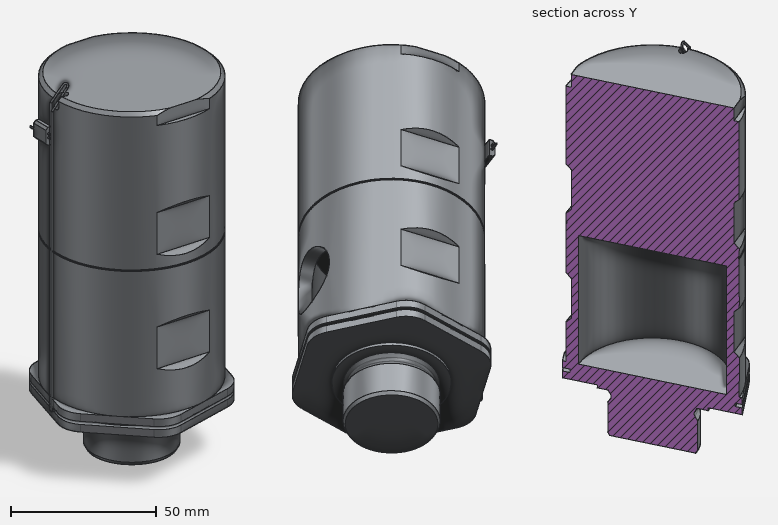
import cadquery as cq
import math

spigot_chamfer_top = 1.3
spigot_top = 13.3
relief_arc_bottom = 15.1
relief_arc_top = 16.7
collar_bottom = 18.1
lower_hex_bottom = 19.3
hex_thickness = 3.0
hex_gap = 1.2
upper_hex_bottom = lower_hex_bottom + hex_thickness + hex_gap
body_bottom = upper_hex_bottom + hex_thickness
seam_height = 82.1
top_height = 142.3

body_diameter = 64.0
rim_chamfer_diameter = 61.0
rim_chamfer_height = 1.3
neck_diameter = 61.0
collar_diameter = 41
spigot_diameter = 33.2
spigot_chamfer_diameter = 31.8
relief_slope = 30
seam_width = 0.5
seam_depth = 0.3
body_radius = body_diameter / 2
spigot_radius = spigot_diameter / 2

hex_across_flats = 64.0
hex_corner_radius = 10.0
hex_turn = 15

flat_offset = 30.0
pocket_height = 16.0
lower_pocket_center = 52.1
upper_pocket_center = 95.9
rim_flat_bottom = 137.1

port_diameter = 24.1
chamber_diameter = 54.5
chamber_bottom = body_bottom
chamber_top = 2 * lower_pocket_center - chamber_bottom

wire_diameter = 0.7
strand_offset = 0.32
wire_y = -34.1
wire_bottom = lower_hex_bottom + hex_thickness + hex_gap / 2
wire_hole_diameter = 3
wire_hole_height = 139.3
wire_top = 146.4
loop_radius = 1.13

tag_left = -8.6
tag_length = 7.0
tag_back = -33.1
tag_thickness = 2.2
tag_bottom = 123.7
tag_height = 6.9
tag_chamfer = 0.9
tail_ends = [(128.0, -10.0), (126.6, -12.0)]


def disc(diameter, bottom, top):
    return cq.Workplane("XY").workplane(offset=bottom).circle(diameter / 2).extrude(top - bottom)


def spigot():
    """Threaded spigot with an end chamfer, a relief groove and a collar, turned about Z."""
    slope = math.tan(math.radians(relief_slope))
    arc_end_radius = spigot_radius - (relief_arc_bottom - spigot_top) * slope
    half_chord = (relief_arc_top - relief_arc_bottom) / 2
    sagitta = half_chord * math.tan(math.radians(relief_slope / 2))
    collar_root_radius = arc_end_radius + (collar_bottom - relief_arc_top) * slope
    return (
        cq.Workplane("XZ")
        .lineTo(spigot_chamfer_diameter / 2, 0)
        .lineTo(spigot_radius, spigot_chamfer_top)
        .lineTo(spigot_radius, spigot_top)
        .lineTo(arc_end_radius, relief_arc_bottom)
        .threePointArc(
            (arc_end_radius - sagitta, relief_arc_bottom + half_chord),
            (arc_end_radius, relief_arc_top),
        )
        .lineTo(collar_root_radius, collar_bottom)
        .lineTo(collar_diameter / 2, collar_bottom)
        .lineTo(collar_diameter / 2, lower_hex_bottom)
        .lineTo(0, lower_hex_bottom)
        .close()
        .revolve(360, (0, 0, 0), (0, 1, 0))
    )


def hexagon(bottom):
    corner_diameter = hex_across_flats / math.cos(math.radians(30))
    return (
        cq.Workplane("XY")
        .polygon(6, corner_diameter)
        .extrude(hex_thickness)
        .edges("|Z")
        .fillet(hex_corner_radius)
        .rotate((0, 0, 0), (0, 0, 1), -hex_turn)
        .translate((0, 0, bottom))
    )


def barrel():
    """Round body with a chamfered rim and a fine groove at the seam."""
    rim_inset = (body_diameter - rim_chamfer_diameter) / 2
    body = disc(body_diameter, body_bottom, top_height)
    body = body.faces(">Z").chamfer(rim_chamfer_height, rim_inset)
    groove_bottom = seam_height - seam_width / 2
    groove_top = seam_height + seam_width / 2
    groove_core = disc(body_diameter - 2 * seam_depth, groove_bottom, groove_top)
    groove = disc(body_diameter, groove_bottom, groove_top).cut(groove_core)
    return body.cut(groove)


def pocket(center, side):
    """Flat-bottomed wrench pocket with 45-degree ends; side is +1 or -1 along X."""
    depth = body_radius - flat_offset
    floor_half = pocket_height / 2
    mouth_half = floor_half + depth
    return (
        cq.Workplane("XZ")
        .polyline([
            (side * flat_offset, center - floor_half),
            (side * body_radius, center - mouth_half),
            (side * body_radius, center + mouth_half),
            (side * flat_offset, center + floor_half),
        ])
        .close()
        .extrude(body_radius, both=True)
    )


def rim_flat(side):
    depth = body_radius - flat_offset
    height = top_height - rim_flat_bottom
    cutter = cq.Workplane("XY").box(depth, body_diameter, height, centered=(True, True, False))
    return cutter.translate((side * (flat_offset + depth / 2), 0, rim_flat_bottom))


def port():
    return (
        cq.Workplane("XZ", origin=(0, 0, lower_pocket_center))
        .circle(port_diameter / 2)
        .extrude(-body_radius)
    )


def wire_hole():
    """45-degree hole from the body wall up to the top face."""
    reach = 2 * (top_height - wire_hole_height) * math.sqrt(2)
    axis = cq.Plane(
        origin=(0, -body_radius, wire_hole_height), xDir=(1, 0, 0), normal=(0, 1, 1)
    )
    return cq.Workplane(axis).circle(wire_hole_diameter / 2).extrude(reach, both=True)


def make_housing():
    body = spigot().union(hexagon(lower_hex_bottom)).union(hexagon(upper_hex_bottom))
    body = body.union(disc(neck_diameter, lower_hex_bottom, body_bottom)).union(barrel())
    for side in (-1, 1):
        body = body.cut(pocket(lower_pocket_center, side))
        body = body.cut(pocket(upper_pocket_center, side))
        body = body.cut(rim_flat(side))
    body = body.cut(disc(chamber_diameter, chamber_bottom, chamber_top))
    return body.cut(port()).cut(wire_hole())


def wire_along(path, start, direction):
    section = cq.Workplane(cq.Plane(origin=start, normal=direction)).circle(wire_diameter / 2)
    return section.sweep(path, transition="round")


def strand(x, top, loop_end):
    """Wire from the neck between the hexagons, out, up to the level top and on to the loop."""
    start = (x, -neck_diameter / 2, wire_bottom)
    corner = (x, wire_y, wire_bottom)
    path = cq.Workplane("XY").polyline([start, corner, (x, wire_y, top), loop_end])
    return wire_along(path, start, (0, -1, 0))


def make_wire():
    """Two upright strands tied into the hexagon gap, joined by a 45-degree loop, with two tails."""
    outer_x = -strand_offset
    inner_x = strand_offset
    diagonal = loop_radius * math.sqrt(0.5)
    hole_line = wire_hole_height + body_radius
    loop_line = hole_line + 4 * diagonal
    loop_z = wire_top - loop_radius - wire_diameter / 2
    loop_y = loop_z - (hole_line + loop_line) / 2

    turn_start = (outer_x, loop_y - diagonal, loop_z + diagonal)
    turn_tip = (outer_x, loop_y + diagonal, loop_z + diagonal)
    turn_end = (outer_x, loop_y + diagonal, loop_z - diagonal)
    turn_path = cq.Workplane("XY").add(
        cq.Edge.makeThreePointArc(cq.Vector(*turn_start), cq.Vector(*turn_tip), cq.Vector(*turn_end))
    )

    wire = strand(outer_x, loop_line + wire_y, turn_start)
    wire = wire.union(wire_along(turn_path, turn_start, (0, 1, 1)))
    wire = wire.union(strand(inner_x, hole_line + wire_y, turn_end))
    for height, left_end in tail_ends:
        tail = cq.Solid.makeCylinder(
            wire_diameter / 2,
            outer_x - left_end,
            cq.Vector(left_end, wire_y, height),
            cq.Vector(1, 0, 0),
        )
        wire = wire.union(cq.Workplane(tail))
    return wire


def make_tag():
    """Small block with bevelled front edges and a hole for each wire tail."""
    tag = (
        cq.Workplane("XY")
        .box(tag_length, tag_thickness, tag_height, centered=False)
        .translate((tag_left, tag_back - tag_thickness, tag_bottom))
        .faces("<Y")
        .edges("|X")
        .chamfer(tag_chamfer)
    )
    for height, _ in tail_ends:
        tail_hole = cq.Solid.makeCylinder(
            wire_diameter / 2, tag_length, cq.Vector(tag_left, wire_y, height), cq.Vector(1, 0, 0)
        )
        tag = tag.cut(cq.Workplane(tail_hole))
    return tag


housing = make_housing()
wire = make_wire()
tag = make_tag()
result = cq.Compound.makeCompound([housing.solids().val(), wire.solids().val(), tag.solids().val()])